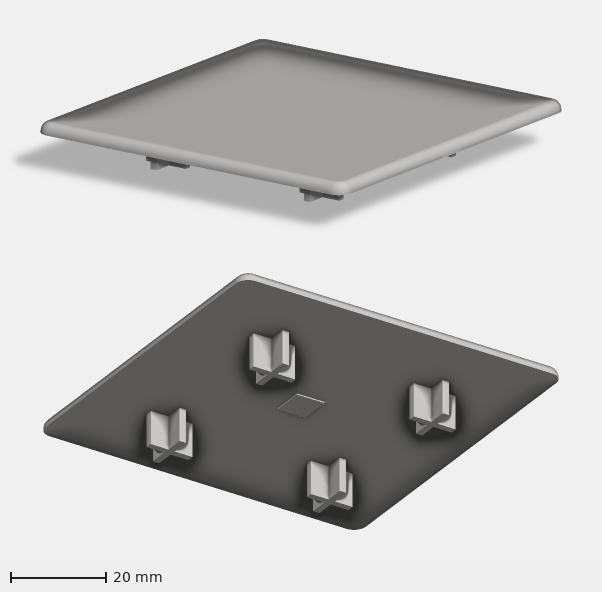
import cadquery as cq

PLATE_SIDE = 80.0
TOTAL_HEIGHT = 10.5
LEG_HEIGHT = 8.0
PLATE_THICKNESS = TOTAL_HEIGHT - LEG_HEIGHT

CORNER_RADIUS = 3.0
TOP_EDGE_RADIUS = 2.0

LEG_SPACING = 40.0
LEG_DIAMETER = 10.5
LEG_WEB = 1.6

PAD_LENGTH_X = 7.6
PAD_LENGTH_Y = 6.8
PAD_HEIGHT = 0.3


def make_plate():
    """Square plate on z = 0 with rounded corners and a rounded upper edge."""
    plate = cq.Workplane("XY").rect(PLATE_SIDE, PLATE_SIDE).extrude(PLATE_THICKNESS)
    plate = plate.edges("|Z").fillet(CORNER_RADIUS)
    return plate.faces(">Z").edges().fillet(TOP_EDGE_RADIUS)


def make_leg():
    """One leg below z = 0: two crossed webs whose ends lie on a common cylinder."""
    web_along_x = cq.Workplane("XY").rect(LEG_DIAMETER, LEG_WEB).extrude(-LEG_HEIGHT)
    web_along_y = cq.Workplane("XY").rect(LEG_WEB, LEG_DIAMETER).extrude(-LEG_HEIGHT)
    envelope = cq.Workplane("XY").circle(LEG_DIAMETER / 2).extrude(-LEG_HEIGHT)
    return web_along_x.union(web_along_y).intersect(envelope)


def make_pad():
    """Low rectangular pad centred on the underside of the plate."""
    return cq.Workplane("XY").rect(PAD_LENGTH_X, PAD_LENGTH_Y).extrude(-PAD_HEIGHT)


result = make_plate().union(make_pad())
leg = make_leg()
for x in (-LEG_SPACING / 2, LEG_SPACING / 2):
    for y in (-LEG_SPACING / 2, LEG_SPACING / 2):
        result = result.union(leg.translate((x, y, 0)))